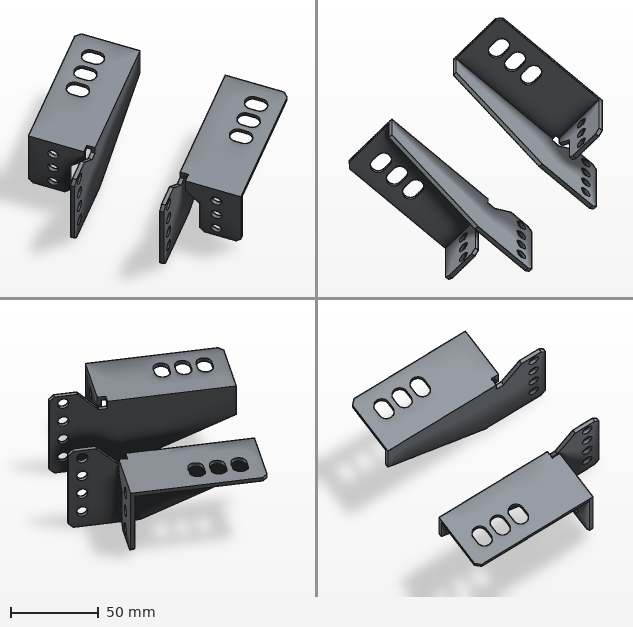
import cadquery as cq

overall_width = 129.1
overall_depth = 109.0
overall_height = 53.5

sheet = 2.5
corner_chamfer = 3.0
bend_relief = 5.0
hole_diameter = 6.5
hole_pitch = 12.5

bracket_width = 38.7
plate_depth = 80.1
plate_top = 46.0
slot_length = 13.5
slot_width = 9.0
slot_count = 3
slot_back_inset = 13.5

flange_height = 42.0
flange_lower_width = 25.0
flange_neck_drop = 8.5
flange_taper_drop = 17.0
flange_hole_count = 3
flange_hole_drop = 10.5
outer_hole_inset = 15.0

side_back_height = 20.0
side_taper_depth = 67.0
side_hole_count = 4
side_hole_inset = 8.1
side_hole_bottom = 10.5

outer_x = -overall_width / 2
inner_x = outer_x + bracket_width
relief_x = inner_x - bend_relief
hole_x = outer_x + outer_hole_inset
flange_front = overall_depth - plate_depth
flange_bottom = plate_top - flange_height
relief_y = flange_front + bend_relief
relief_z = plate_top - bend_relief
ear_back = flange_front - (overall_height - relief_z)


def top_plate():
    """Horizontal plate with three slots, one clipped back corner and the bend relief."""
    outline = [
        (outer_x, flange_front),
        (relief_x, flange_front),
        (relief_x, relief_y),
        (inner_x, relief_y),
        (inner_x, overall_depth),
        (outer_x + corner_chamfer, overall_depth),
        (outer_x, overall_depth - corner_chamfer),
    ]
    plate = cq.Workplane("XY", origin=(0, 0, plate_top - sheet)).polyline(outline).close().extrude(sheet)
    first_slot_y = overall_depth - slot_back_inset
    centers = [(hole_x, first_slot_y - i * hole_pitch) for i in range(slot_count)]
    slots = (
        cq.Workplane("XY", origin=(0, 0, plate_top - sheet))
        .pushPoints(centers)
        .slot2D(slot_length, slot_width)
        .extrude(sheet)
    )
    return plate.cut(slots)


def front_flange():
    """Vertical flange hanging from the front edge of the top plate, with a row of holes."""
    lower_x = outer_x + flange_lower_width
    outline = [
        (outer_x, plate_top),
        (relief_x, plate_top),
        (relief_x, plate_top - flange_neck_drop),
        (lower_x, plate_top - flange_taper_drop),
        (lower_x, flange_bottom + corner_chamfer),
        (lower_x - corner_chamfer, flange_bottom),
        (outer_x + corner_chamfer, flange_bottom),
        (outer_x, flange_bottom + corner_chamfer),
    ]
    flange_plane = cq.Workplane("XZ", origin=(0, flange_front + sheet, 0))
    flange = flange_plane.polyline(outline).close().extrude(sheet)
    first_hole_z = plate_top - flange_hole_drop
    centers = [(hole_x, first_hole_z - i * hole_pitch) for i in range(flange_hole_count)]
    holes = flange_plane.pushPoints(centers).circle(hole_diameter / 2).extrude(sheet)
    return flange.cut(holes)


def side_plate():
    """Vertical plate along the inner edge, tapered at the back, with a raised drilled ear in front."""
    outline = [
        (overall_depth, plate_top),
        (relief_y, plate_top),
        (relief_y, relief_z),
        (flange_front, relief_z),
        (ear_back, overall_height),
        (corner_chamfer, overall_height),
        (0, overall_height - corner_chamfer),
        (0, corner_chamfer),
        (corner_chamfer, 0),
        (overall_depth - side_taper_depth, 0),
        (overall_depth, plate_top - side_back_height),
    ]
    side_plane = cq.Workplane("YZ", origin=(inner_x - sheet, 0, 0))
    plate = side_plane.polyline(outline).close().extrude(sheet)
    centers = [(side_hole_inset, side_hole_bottom + i * hole_pitch) for i in range(side_hole_count)]
    holes = side_plane.pushPoints(centers).circle(hole_diameter / 2).extrude(sheet)
    return plate.cut(holes)


def bracket():
    """Complete bracket on the -X side, one folded sheet."""
    return top_plate().union(front_flange()).union(side_plate())


left_bracket = bracket()
right_bracket = left_bracket.mirror("YZ")

result = cq.Compound.makeCompound([left_bracket.val(), right_bracket.val()])